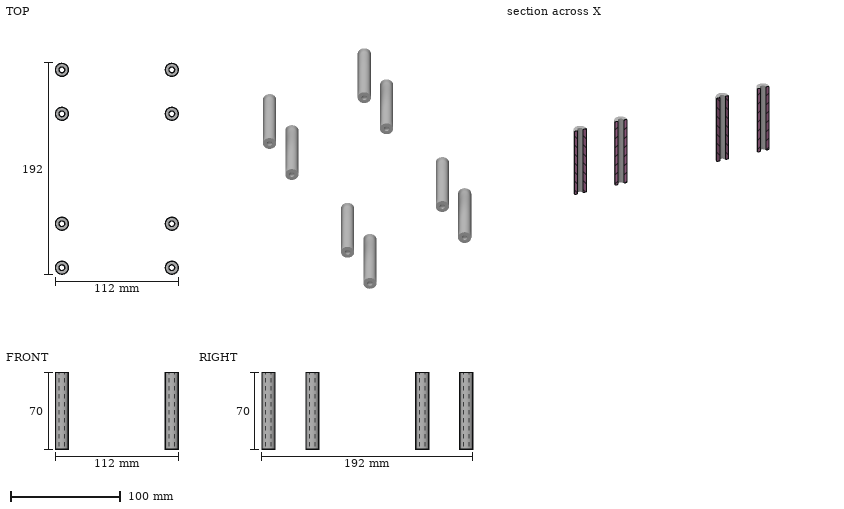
import cadquery as cq

tube_diameter = 12.0
bore_diameter = 5.0
tube_length = 70.0

column_spacing = 100.0
inner_row_spacing = 100.0
outer_row_offset = 40.0

column_x = column_spacing / 2
inner_row_y = inner_row_spacing / 2
outer_row_y = inner_row_y + outer_row_offset


def make_spacer(x, y):
    """Upright round spacer with a through bore, standing on Z = 0 at (x, y)."""
    return (
        cq.Workplane("XY")
        .center(x, y)
        .circle(tube_diameter / 2)
        .circle(bore_diameter / 2)
        .extrude(tube_length)
    )


spacers = []
for x in (-column_x, column_x):
    for y in (-outer_row_y, -inner_row_y, inner_row_y, outer_row_y):
        spacers.append(make_spacer(x, y))

result = cq.Compound.makeCompound([spacer.val() for spacer in spacers])